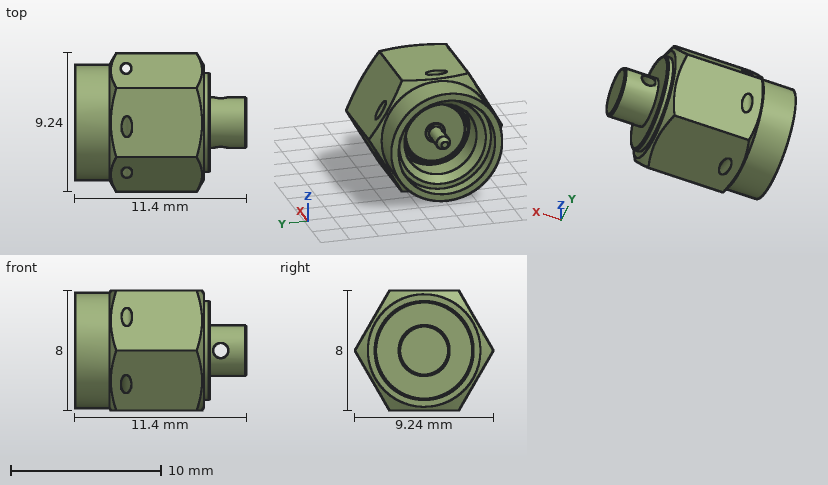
import cadquery as cq
import math

SLEEVE_END = 2.3
NUT_END = 8.6
FLANGE_END = 9.0
OVERALL_LENGTH = 11.4

ACROSS_FLATS = 8.0
ACROSS_CORNERS = ACROSS_FLATS / math.cos(math.radians(30))
SLEEVE_RADIUS = 3.85
NUT_REAR_RADIUS = 3.75
CORNER_BEVEL_ANGLE = 30.0

MOUTH_RADIUS = 3.35
MOUTH_DEPTH = 1.0
LEDGE_INNER_RADIUS = 3.0
SOCKET_RADIUS = 2.5
CONE_END = 1.5
SOCKET_DEPTH = 3.2

CONTACT_RADIUS = 2.28
CONTACT_FACE = 2.65
CONTACT_BEVEL = 0.08
INSULATOR_RADIUS = 2.05
INSULATOR_RECESS = 0.15
PIN_SHOULDER_RADIUS = 0.65
PIN_RADIUS = 0.46
PIN_TIP_RADIUS = 0.23
PIN_TIP = 0.45
PIN_TAPER_LENGTH = 0.4

FLANGE_RADIUS = 3.3
FLANGE_BEVEL = 0.1
TAIL_RADIUS = 1.7
TAIL_BEVEL = 0.1
SOLDER_HOLE_DIAMETER = 1.0
SOLDER_HOLE_X = 9.7

WIRE_HOLE_DIAMETER = 0.7
WIRE_HOLE_OFFSET = 3.6
WIRE_HOLES = ((0, 3.4), (120, 3.45), (240, 3.4))


def turned(profile):
    """Revolve an (axial position, radius) outline about the X axis."""
    return cq.Workplane("XY").polyline(profile).close().revolve(360, (0, 0, 0), (1, 0, 0))


def corner_bevel_length(end_radius):
    """Axial length of the cone from a circle on the nut's end face out to the hexagon corners."""
    return (ACROSS_CORNERS / 2 - end_radius) * math.tan(math.radians(CORNER_BEVEL_ANGLE))


def make_nut():
    hexagon = (
        cq.Workplane("YZ", origin=(SLEEVE_END, 0, 0))
        .polygon(6, ACROSS_CORNERS)
        .extrude(NUT_END - SLEEVE_END)
    )
    bevel_envelope = turned([
        (SLEEVE_END, 0),
        (SLEEVE_END, SLEEVE_RADIUS),
        (SLEEVE_END + corner_bevel_length(SLEEVE_RADIUS), ACROSS_CORNERS / 2),
        (NUT_END - corner_bevel_length(NUT_REAR_RADIUS), ACROSS_CORNERS / 2),
        (NUT_END, NUT_REAR_RADIUS),
        (NUT_END, 0),
    ])
    sleeve = cq.Workplane("YZ").circle(SLEEVE_RADIUS).extrude(SLEEVE_END)
    return hexagon.intersect(bevel_envelope).union(sleeve)


def make_socket():
    return turned([
        (0, 0),
        (0, MOUTH_RADIUS),
        (MOUTH_DEPTH, MOUTH_RADIUS),
        (MOUTH_DEPTH, LEDGE_INNER_RADIUS),
        (CONE_END, SOCKET_RADIUS),
        (SOCKET_DEPTH, SOCKET_RADIUS),
        (SOCKET_DEPTH, 0),
    ])


def make_contact():
    """Contact body with its recessed insulator face and the shouldered centre pin."""
    insulator_face = CONTACT_FACE + INSULATOR_RECESS
    return turned([
        (PIN_TIP, 0),
        (PIN_TIP, PIN_TIP_RADIUS),
        (PIN_TIP + PIN_TAPER_LENGTH, PIN_RADIUS),
        (CONTACT_FACE, PIN_RADIUS),
        (CONTACT_FACE, PIN_SHOULDER_RADIUS),
        (insulator_face, PIN_SHOULDER_RADIUS),
        (insulator_face, INSULATOR_RADIUS),
        (CONTACT_FACE, INSULATOR_RADIUS),
        (CONTACT_FACE, CONTACT_RADIUS - CONTACT_BEVEL),
        (CONTACT_FACE + CONTACT_BEVEL, CONTACT_RADIUS),
        (SOCKET_DEPTH, CONTACT_RADIUS),
        (SOCKET_DEPTH, 0),
    ])


def make_rear():
    """Flange and tail behind the nut, with a solder hole across the tail."""
    flange = (
        cq.Workplane("YZ", origin=(NUT_END, 0, 0))
        .circle(FLANGE_RADIUS)
        .extrude(FLANGE_END - NUT_END)
        .faces(">X")
        .chamfer(FLANGE_BEVEL)
    )
    tail = (
        cq.Workplane("YZ", origin=(FLANGE_END, 0, 0))
        .circle(TAIL_RADIUS)
        .extrude(OVERALL_LENGTH - FLANGE_END)
        .faces(">X")
        .chamfer(TAIL_BEVEL)
    )
    solder_hole = (
        cq.Workplane("XZ", origin=(SOLDER_HOLE_X, 0, 0))
        .circle(SOLDER_HOLE_DIAMETER / 2)
        .extrude(TAIL_RADIUS * 2, both=True)
    )
    return flange.union(tail).cut(solder_hole)


def make_wire_hole(corner_angle, x):
    """Cylinder square to the radius that points at one hexagon corner."""
    return (
        cq.Workplane("XY", origin=(x, WIRE_HOLE_OFFSET, 0))
        .circle(WIRE_HOLE_DIAMETER / 2)
        .extrude(ACROSS_FLATS / 2, both=True)
        .rotate((0, 0, 0), (1, 0, 0), corner_angle)
    )


nut = make_nut().cut(make_socket())
for corner_angle, x in WIRE_HOLES:
    nut = nut.cut(make_wire_hole(corner_angle, x))

result = nut.union(make_rear()).union(make_contact())